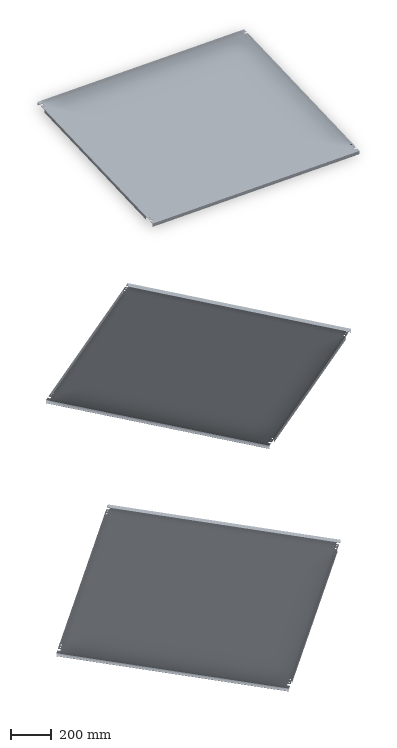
import cadquery as cq

width = 1130.0
length = 1170.0
height = 20.0
sheet = 2.0

end_flange_length = 995.0

slot_from_side = 28.0
slot_width = 13.0
slot_depth = 16.0
small_hole_from_side = 47.0
countersink_from_side = 67.0
holes_from_end = 9.0
small_hole_diameter = 7.0
countersink_diameter = 15.0
countersink_depth = 1.4
screw_hole_diameter = 8.0


def hanging_block(size_x, size_y, size_z):
    """Block centred on the Z axis with its top face at Z = 0."""
    block = cq.Workplane("XY").rect(size_x, size_y)
    return block.extrude(-size_z)


def through_hole(diameter):
    """Cylinder through the plate, on the Z axis."""
    return cq.Workplane("XY").circle(diameter / 2).extrude(-sheet)


def countersunk_hole():
    """Through hole with a cone that opens to the top face."""
    cone = (
        cq.Workplane("XY")
        .circle(countersink_diameter / 2)
        .workplane(offset=-countersink_depth)
        .circle(screw_hole_diameter / 2)
        .loft()
    )
    return cone.union(through_hole(screw_hole_diameter))


def edge_slot():
    """Round-ended slot reaching slot_depth inward from an edge at Y = 0, running out past that edge."""
    end_radius = slot_width / 2
    straight = slot_depth - end_radius
    return (
        cq.Workplane("XY")
        .moveTo(-end_radius, end_radius)
        .lineTo(-end_radius, -straight)
        .threePointArc((0, -slot_depth), (end_radius, -straight))
        .lineTo(end_radius, end_radius)
        .close()
        .extrude(-sheet)
    )


def corner_cutouts():
    """Slot and two holes of the +X +Y corner."""
    side_edge = width / 2
    end_edge = length / 2
    hole_y = end_edge - holes_from_end
    slot = edge_slot().translate((side_edge - slot_from_side, end_edge, 0))
    small_hole = through_hole(small_hole_diameter).translate((side_edge - small_hole_from_side, hole_y, 0))
    screw_hole = countersunk_hole().translate((side_edge - countersink_from_side, hole_y, 0))
    return slot.union(small_hole).union(screw_hole)


result = hanging_block(width, length, sheet)
side_flange = hanging_block(sheet, length, height)
end_flange = hanging_block(end_flange_length, sheet, height)
for direction in (-1, 1):
    result = result.union(side_flange.translate((direction * (width - sheet) / 2, 0, 0)))
    result = result.union(end_flange.translate((0, direction * (length - sheet) / 2, 0)))

right_cutouts = corner_cutouts().union(corner_cutouts().mirror("XZ"))
result = result.cut(right_cutouts).cut(right_cutouts.mirror("YZ"))